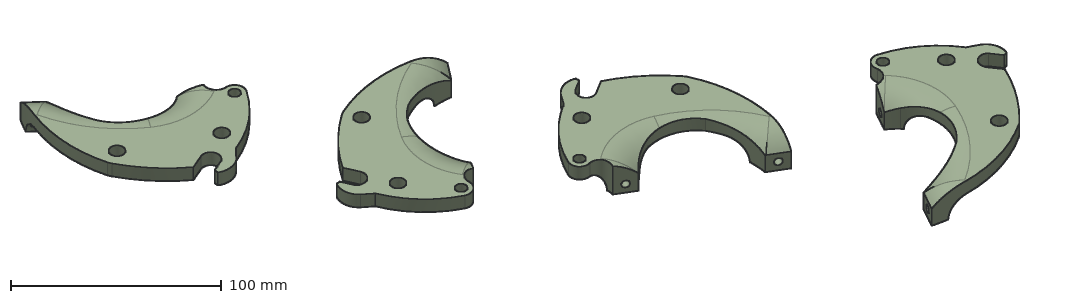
import cadquery as cq
import math

total_height = 18.5
plate_thickness = 8.1
leg_height = total_height - plate_thickness

tip_angle = math.radians(20)
along = cq.Vector(math.cos(tip_angle), math.sin(tip_angle), 0)
inward = cq.Vector(math.sin(tip_angle), -math.cos(tip_angle), 0)
tip_width = 12.7
foot_depth = 9.0
leg_reach = foot_depth + leg_height
clearance = 1.1
slab_size = 338.3

left_tip = cq.Vector(0, 39.4, 0)
left_tip_inner = left_tip + along * tip_width
left_leg_span = 40.6
right_tip = cq.Vector(69.8, 64.6, 0)
right_leg_hinge_offset = tip_width / 2
right_leg_span = 15.3
right_leg_hinge = right_tip + along * right_leg_hinge_offset
right_tip_end = right_tip + along * tip_width

round_radius = 25.6
round_reach = 18.6
tip_round_start = 18.5
upper_center = (50.3, 64.8)
upper_radius = 37.8
round_joint_angle = math.radians(-64)
lower_radius = 83.7
lower_center = (
    upper_center[0] - (lower_radius - upper_radius) * math.cos(round_joint_angle),
    upper_center[1] - (lower_radius - upper_radius) * math.sin(round_joint_angle),
)
lower_sweep = 50.0
upper_straight = 9.0

lug_center = (97.9, 66.4)
lug_radius = 5.9
lug_hole_diameter = 6.1
bolt_hole_diameter = 8.0
bolt_hole_centers = [(100.5, 36.4), (56.7, 9.6)]
leg_hole_diameter = 4.3
leg_hole_height = 5.4


def lug_point(degrees):
    """Point on the rim of the round lug."""
    angle = math.radians(degrees)
    return (lug_center[0] + lug_radius * math.cos(angle), lug_center[1] + lug_radius * math.sin(angle))


def outline():
    """Outer contour, starting at the left tip, extruded to the full height."""
    return (
        cq.Workplane("XY")
        .moveTo(left_tip.x, left_tip.y)
        .lineTo(left_tip_inner.x, left_tip_inner.y)
        .threePointArc((26.5, 33.7), (42.4, 29.2))
        .threePointArc((61.1, 36.0), (70.7, 57.1))
        .threePointArc((70.5, 60.9), (right_tip.x, right_tip.y))
        .lineTo(right_tip_end.x, right_tip_end.y)
        .threePointArc((87.0, 65.9), lug_point(155))
        .threePointArc(lug_point(90), lug_point(30))
        .threePointArc((109.3, 52.8), (110.2, 27.5))
        .lineTo(112.4, 20.6)
        .threePointArc((111.7, 12.7), (107.0, 8.0))
        .lineTo(105.1, 9.1)
        .lineTo(106.1, 16.8)
        .threePointArc((101.2, 21.5), (96.0, 17.1))
        .lineTo(94.8, 8.5)
        .threePointArc((77.0, 2.5), (57.1, 0))
        .lineTo(54.8, 0.1)
        .threePointArc((25.4, 12.2), (left_tip.x, left_tip.y))
        .close()
        .extrude(total_height)
    )


def leg_profile(origin, tip_overlap):
    """Section through a leg: flat foot and concave fillet up to the plate."""
    diagonal = leg_height * math.sqrt(0.5)
    return (
        cq.Workplane(cq.Plane(origin, xDir=inward * -1, normal=along))
        .moveTo(tip_overlap, 0)
        .lineTo(-foot_depth, 0)
        .threePointArc((diagonal - leg_reach, diagonal), (-leg_reach, leg_height))
        .lineTo(-leg_reach, total_height)
        .lineTo(tip_overlap, total_height)
        .close()
    )


def left_leg():
    """Straight leg that runs parallel to the left tip face."""
    return leg_profile(left_tip - along * clearance, clearance).extrude(left_leg_span)


def right_leg():
    """Straight leg that turns about a vertical hinge line on its tip face."""
    straight = leg_profile(right_leg_hinge, clearance).extrude(-right_leg_span)
    turned = leg_profile(right_leg_hinge, 0).revolve(180, (0, 0), (0, 1))
    return straight.union(turned)


def plate():
    """Slab that covers the whole outline, above the legs."""
    return cq.Workplane("XY", origin=(0, 0, leg_height)).rect(slab_size, slab_size).extrude(plate_thickness)


def round_profile(plane, start):
    """Region above the rounded top; local x decreases from the tangent point at start."""
    reach = round_reach + clearance
    arc_center_z = total_height - round_radius

    def arc_point(distance):
        return (start - distance, arc_center_z + math.sqrt(round_radius**2 - distance**2))

    return (
        cq.Workplane(plane)
        .moveTo(start, total_height)
        .threePointArc(arc_point(reach / 2), arc_point(reach))
        .lineTo(start - reach, total_height + clearance)
        .lineTo(start, total_height + clearance)
        .close()
    )


def swept_round(center, radius, angle, sweep):
    """Rounding turned about a vertical axis, clockwise from above when sweep is negative."""
    radial = cq.Vector(math.cos(angle), math.sin(angle), 0)
    normal = cq.Vector(math.sin(angle), -math.cos(angle), 0)
    plane = cq.Plane((center[0], center[1], 0), xDir=radial, normal=normal)
    axis_direction = math.copysign(1, sweep)
    return round_profile(plane, radius).revolve(abs(sweep), (0, 0), (0, axis_direction))


def top_rounds():
    """Two tangent turned roundings and a straight run-out along Y."""
    upper = swept_round(upper_center, upper_radius, round_joint_angle, -math.degrees(round_joint_angle))
    lower = swept_round(lower_center, lower_radius, round_joint_angle, -lower_sweep)
    end_plane = cq.Plane((upper_center[0], upper_center[1], 0), xDir=(1, 0, 0), normal=(0, -1, 0))
    upper_end = round_profile(end_plane, upper_radius).extrude(-upper_straight)
    return [upper, lower, upper_end]


def tip_round():
    """Cylindrical rounding that runs parallel to the left tip face."""
    plane = cq.Plane(left_tip - along * clearance, xDir=inward, normal=along * -1)
    return round_profile(plane, tip_round_start).extrude(-left_leg_span)


def leg_hole(tip_point):
    """Hole square to the tip face, right through the leg."""
    start = tip_point - inward * clearance + cq.Vector(0, 0, leg_hole_height)
    plane = cq.Plane(start, xDir=along, normal=inward)
    return cq.Workplane(plane).circle(leg_hole_diameter / 2).extrude(leg_reach)


result = outline().intersect(plate().union(left_leg()).union(right_leg()))
for rounding in top_rounds() + [tip_round()]:
    result = result.cut(rounding)
for hole_position in (left_tip + along * (tip_width / 2), right_leg_hinge):
    result = result.cut(leg_hole(hole_position))
for centers, diameter in ((bolt_hole_centers, bolt_hole_diameter), ([lug_center], lug_hole_diameter)):
    result = result.cut(cq.Workplane("XY").pushPoints(centers).circle(diameter / 2).extrude(total_height))